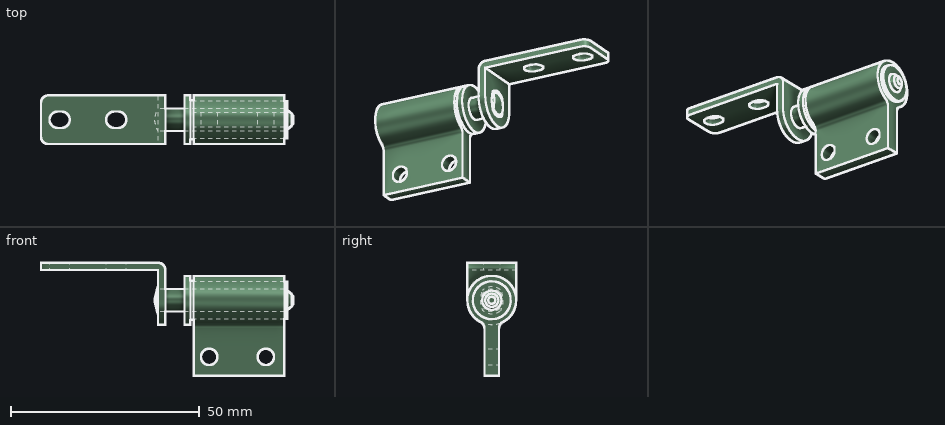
import cadquery as cq
import math


bracket_length = 33.0
flange_start = 38.0
shoulder_start = 39.6
barrel_start = 40.4
barrel_end = 64.5
sleeve_end = 64.9
washer_end = 65.3
pin_end = 66.9

plate_thickness = 2.0
hinge_width = 13.0
bracket_top = 10.0
corner_radius = 2.0
bend_radius = 2.0
slot_length = 5.3
slot_width = 4.3
first_slot_x = 4.95
hole_pitch = 15.0

barrel_radius = hinge_width / 2
leaf_thickness = 3.95
leaf_bottom = -20.0
leaf_fillet = 1.9
leaf_hole_diameter = 4.3
leaf_hole_inset = 4.15
leaf_hole_z = -15.0

shoulder_radius = 5.2
sleeve_radius = 5.0
washer_radius = sleeve_radius

shank_radius = 3.0
tip_radius = 2.55
rim_radius = 1.75
land_radius = 1.4
end_radius = 0.95
rim_x = 66.3
land_x = 66.5

head_height = 0.95
head_cone_radius = 4.1
head_base_radius = 3.6
head_base_half_width = 2.4
head_skirt_height = 0.4
head_top_radius = 2.75
head_top_half_width = 2.3

leg_start = bracket_length - plate_thickness


def rod(radius, start, end):
    """Cylinder on the hinge axis."""
    return cq.Workplane("YZ").workplane(offset=start).circle(radius).extrude(end - start)


def make_bracket():
    plate = (
        cq.Workplane("XY")
        .box(bracket_length, hinge_width, plate_thickness, centered=(False, True, False))
        .translate((0, 0, bracket_top - plate_thickness))
        .edges("|Z and <X")
        .fillet(corner_radius)
    )
    leg = (
        cq.Workplane("YZ")
        .workplane(offset=leg_start)
        .moveTo(-barrel_radius, bracket_top)
        .lineTo(-barrel_radius, 0)
        .threePointArc((0, -barrel_radius), (barrel_radius, 0))
        .lineTo(barrel_radius, bracket_top)
        .close()
        .extrude(plate_thickness)
    )
    bent = plate.union(leg).edges("|Y and >X and >Z").fillet(bend_radius)
    slots = (
        cq.Workplane("XY")
        .workplane(offset=bracket_top - plate_thickness)
        .pushPoints([(first_slot_x, 0), (first_slot_x + hole_pitch, 0)])
        .slot2D(slot_length, slot_width)
        .extrude(plate_thickness)
    )
    return bent.cut(slots).cut(rod(shank_radius, leg_start, bracket_length))


def make_housing():
    barrel_length = barrel_end - barrel_start
    half_leaf = leaf_thickness / 2

    fillet_y = half_leaf + leaf_fillet
    fillet_z = -math.sqrt((barrel_radius + leaf_fillet) ** 2 - fillet_y**2)
    barrel_share = barrel_radius / (barrel_radius + leaf_fillet)
    tangent_y = fillet_y * barrel_share
    tangent_z = fillet_z * barrel_share
    middle_angle = (math.pi + math.atan2(-fillet_z, -fillet_y)) / 2
    middle_y = fillet_y + leaf_fillet * math.cos(middle_angle)
    middle_z = fillet_z + leaf_fillet * math.sin(middle_angle)

    profile = (
        cq.Workplane("YZ")
        .workplane(offset=barrel_start)
        .moveTo(-half_leaf, leaf_bottom)
        .lineTo(half_leaf, leaf_bottom)
        .lineTo(half_leaf, fillet_z)
        .threePointArc((middle_y, middle_z), (tangent_y, tangent_z))
        .threePointArc((0, barrel_radius), (-tangent_y, tangent_z))
        .threePointArc((-middle_y, middle_z), (-half_leaf, fillet_z))
        .close()
    )
    first_hole_x = barrel_start + leaf_hole_inset
    leaf_holes = (
        cq.Workplane("XZ")
        .pushPoints([(first_hole_x, leaf_hole_z), (first_hole_x + hole_pitch, leaf_hole_z)])
        .circle(leaf_hole_diameter / 2)
        .extrude(leaf_thickness, both=True)
    )
    bore = rod(sleeve_radius, barrel_start, barrel_end)
    return profile.extrude(barrel_length).cut(bore).cut(leaf_holes)


def make_sleeve():
    """Flange and shoulder outside the barrel, then a sleeve that runs through it."""
    flange = rod(barrel_radius, flange_start, shoulder_start)
    shoulder = rod(shoulder_radius, shoulder_start, barrel_start)
    tube = rod(sleeve_radius, barrel_start, sleeve_end)
    bore = rod(shank_radius, flange_start, sleeve_end)
    return flange.union(shoulder).union(tube).cut(bore)


def make_washer():
    return rod(washer_radius, sleeve_end, washer_end).cut(rod(tip_radius, sleeve_end, washer_end))


def oblong_corner(radius, half_width):
    """Height of the corner where a round end of this radius meets the side."""
    return math.sqrt(radius**2 - half_width**2)


def make_head():
    """Shallow cone whose skirt widens to a rounded oblong on the bracket leg."""
    base_z = oblong_corner(head_base_radius, head_base_half_width)
    top_z = oblong_corner(head_top_radius, head_top_half_width)
    skirt = (
        cq.Workplane("YZ")
        .workplane(offset=leg_start)
        .moveTo(-head_base_half_width, base_z)
        .threePointArc((0, head_base_radius), (head_base_half_width, base_z))
        .threePointArc((shank_radius, 0), (head_base_half_width, -base_z))
        .threePointArc((0, -head_base_radius), (-head_base_half_width, -base_z))
        .threePointArc((-shank_radius, 0), (-head_base_half_width, base_z))
        .close()
        .workplane(offset=-head_skirt_height)
        .moveTo(-head_top_half_width, top_z)
        .threePointArc((0, head_top_radius), (head_top_half_width, top_z))
        .lineTo(head_top_half_width, -top_z)
        .threePointArc((0, -head_top_radius), (-head_top_half_width, -top_z))
        .close()
        .loft(ruled=True)
    )
    cone = cq.Workplane(
        cq.Solid.makeCone(
            head_cone_radius, 0, head_height, cq.Vector(leg_start, 0, 0), cq.Vector(-1, 0, 0)
        )
    )
    point_radius = head_cone_radius * (1 - head_skirt_height / head_height)
    point = rod(point_radius, leg_start - head_height, leg_start - head_skirt_height)
    return skirt.union(point).intersect(cone)


def make_pin():
    profile = (
        cq.Workplane("XY")
        .moveTo(leg_start, 0)
        .lineTo(leg_start, shank_radius)
        .lineTo(sleeve_end, shank_radius)
        .lineTo(sleeve_end, tip_radius)
        .lineTo(washer_end, tip_radius)
        .lineTo(rim_x, rim_radius)
        .lineTo(land_x, land_radius)
        .lineTo(pin_end, end_radius)
        .lineTo(pin_end, 0)
        .close()
    )
    shank = profile.revolve(360, (0, 0, 0), (1, 0, 0))
    return shank.union(make_head())


bracket = make_bracket()
housing = make_housing()
sleeve = make_sleeve()
washer = make_washer()
pin = make_pin()

result = cq.Compound.makeCompound(
    [bracket.val(), housing.val(), sleeve.val(), washer.val(), pin.val()]
)